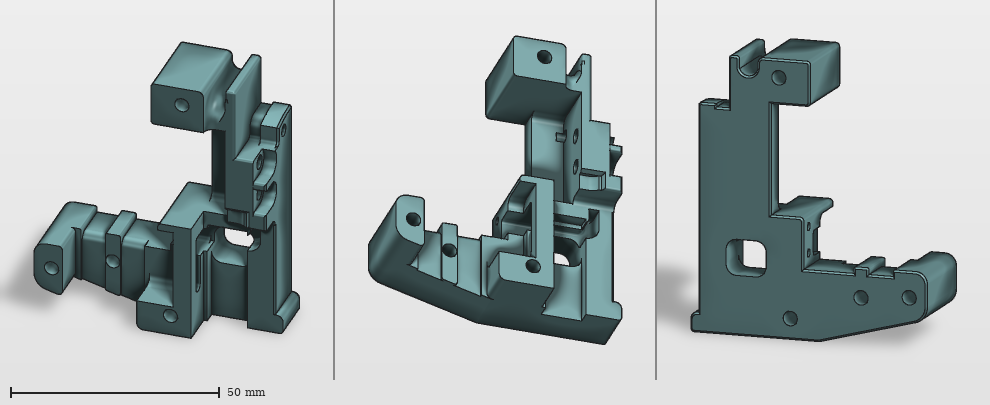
import cadquery as cq
import math

depth = 21.6
height = 68.75
screw_radius = 1.8
back_chamfer = 0.5

block_left = 31.35
block_right = 39.9
block_top = 30.25
block_edge_radius = 1.0
recess_depth = 9.5
foot_left = 26.05
foot_top = 7.8
recess_right = 35.35
recess_top = 28.4

arm_top = 17.45
rib_top = 19.1
arm_front = 10.2
arm_edge_radius = 2.2
arm_neck_left = 8.65
arm_neck_right = 24.75
slope_angle = 15.0
slope_end = 27.35
end_width = 7.2
rib_left = 14.8
rib_right = 18.6

wall_front = 9.15
wall_right = 58.0
toe_right = 60.0
toe_top = 4.95

channel_left = 40.8
channel_right = 50.95
channel_floor = 14.4
relief_floor = 12.4
relief_top = 26.7
cable_bottom = 19.25
cable_top = 25.5
cable_front = 3.6
cable_edge_radius = 0.9
window_bottom = 14.8
window_top = 23.65
window_radius = 2.7

column_left = 39.5
cavity_back = 16.3
cavity_radius = 2.05
plate_left = 47.65
plate_front = 2.35
plate_bottom = 31.6
plate_shoulder = 50.5
plate_edge_radius = 0.75
side_chamfer = 0.5
ear_right = 50.25
plate_screw_y = 6.95
plate_screw_heights = (39.4, 47.9)
seat_start = 54.8
seat_radius = 3.2

pivot_y = 15.3
pivot_z = 52.7
boss_left = 53.4

head_left = 29.6
head_right = 43.0
head_bottom = 57.6
head_left_radius = 1.0
head_right_radius = 1.4

groove_radius = 2.4
groove_x = head_right + groove_radius
groove_z = 66.4
groove_bend_y = 7.6
groove_bend_radius = groove_bend_y - plate_front + groove_radius

screw_positions = ((4.5, 12.65), (16.7, 11.7), (34.65, 5.2), (37.55, 64.2))


def box(x0, x1, y0, y1, z0, z1):
    """Axis-aligned box between the given limits."""
    return cq.Workplane("XY").box(x1 - x0, y1 - y0, z1 - z0, centered=False).translate((x0, y0, z0))


def plane_at_y(y):
    """Sketch plane with axes X and Z; a negative extrusion runs towards the back."""
    return cq.Workplane("XZ", origin=(0, y, 0))


def plane_at_x(x):
    """Sketch plane with axes Y and Z; an extrusion runs to the right."""
    return cq.Workplane("YZ", origin=(x, 0, 0))


def hole_along_y(x, z):
    return plane_at_y(0).center(x, z).circle(screw_radius).extrude(-depth)


def underside(x):
    """Height of the sloping underside of the arm."""
    return (slope_end - x) * math.tan(math.radians(slope_angle))


def arm_piece(x0, x1, front, top):
    """Length of the arm, cut off below by the sloping underside."""
    outline = [(x0, underside(x0)), (x1, underside(x1)), (x1, top), (x0, top)]
    return plane_at_y(front).polyline(outline).close().extrude(front - depth)


def make_arm():
    step_corner_radius = 0.55
    end_right_radius = 1.0
    end_top_radius = 3.0
    end_bottom_radius = 4.1
    end = arm_piece(0, end_width, 0, rib_top)
    end = end.edges("|Y and >X").fillet(end_right_radius)
    end = end.edges("|Y and <X and >Z").fillet(end_top_radius)
    end = end.faces("<X").edges("|Y and <Z").fillet(end_bottom_radius)
    end_step = arm_piece(end_width / 2, arm_neck_left, recess_depth, rib_top)
    end_step = end_step.edges("|Y and >X and >Z").fillet(step_corner_radius)

    rib = arm_piece(rib_left, rib_right, recess_depth, rib_top).edges("|Y").fillet(step_corner_radius)
    neck = arm_piece(arm_neck_left - 0.7, arm_neck_right, arm_front, arm_top)
    neck = neck.edges("|X and <Y and >Z").fillet(arm_edge_radius)

    root_outline = [
        (arm_neck_right, underside(arm_neck_right)),
        (slope_end, 0),
        (block_right, 0),
        (block_right, arm_top),
        (arm_neck_right, arm_top),
    ]
    root = plane_at_y(recess_depth).polyline(root_outline).close().extrude(recess_depth - depth)
    return end.union(end_step).union(neck).union(rib).union(root)


def make_block():
    foot_radius = 1.7
    step_radius = 2.4
    recess_radius = 2.2
    body = box(block_left, block_right, 0, depth, 0, block_top)
    body = body.edges("|Y and <X and >Z").fillet(block_edge_radius)
    foot = box(foot_left, block_right, 0, recess_depth, 0, foot_top + step_radius)
    foot = foot.edges("|Y and <X and <Z").fillet(foot_radius)
    recess = box(foot_left, recess_right, 0, recess_depth, foot_top, recess_top)
    recess = recess.edges("|X and >Y and <Z").fillet(step_radius)
    recess = recess.edges("|X and >Y and >Z").fillet(recess_radius)
    return body.union(foot).cut(recess)


def make_pin_holes():
    """Two blind holes in the left face of the block."""
    pin_radius = 0.95
    pin_depth = 4.1
    centres = [(17.6, 20.75), (17.6, 27.2)]
    return plane_at_x(block_left).pushPoints(centres).circle(pin_radius).extrude(pin_depth)


def make_lower_wall():
    under_plate_radius = 1.85
    toe_top_radius = 1.7
    toe_bottom_radius = 0.9
    wall = box(block_right - 0.7, wall_right, wall_front, depth, 0, block_top)
    wall = wall.edges("|Z and >X and <Y").chamfer(side_chamfer)
    toe = box(channel_right, toe_right, wall_front, depth, 0, toe_top)
    toe = toe.edges("|Y and >X and >Z").fillet(toe_top_radius)
    toe = toe.edges("|Y and >X and <Z").fillet(toe_bottom_radius)
    gusset = (
        plane_at_x(block_right)
        .moveTo(wall_front, plate_bottom - under_plate_radius)
        .radiusArc((wall_front - under_plate_radius, plate_bottom), -under_plate_radius)
        .lineTo(depth, plate_bottom)
        .lineTo(depth, plate_bottom - under_plate_radius)
        .close()
        .extrude(wall_right - block_right)
    )
    gusset = gusset.cut(box(block_right, plate_left, 0, cavity_back, block_top, plate_bottom))
    return wall.union(toe).union(gusset)


def make_cable_passage():
    """Channel through the block and along the wall that turns up towards the plate."""
    cable_floor_radius = 1.3
    slot_back = 6.7
    slot_bottom = 10.3
    slot_radius = 1.5
    relief_radius = 0.7
    branch_left = 51.7
    branch_right = 54.3
    branch_top = 29.6
    inner_bend_radius = 1.4
    outer_bend_radius = 3.45
    bend_z = 24.75
    through = box(block_left - 0.7, block_right, cable_front, channel_floor, cable_bottom, cable_top)
    through = through.edges("|X and >Z").fillet(cable_edge_radius)
    through = through.edges("|X and >Y and <Z").fillet(cable_floor_radius)
    slot = box(recess_right, block_right, cable_front, slot_back, slot_bottom, cable_bottom + slot_radius)
    slot = slot.edges("|X and <Z").fillet(slot_radius)
    relief = box(channel_left, channel_right, wall_front, relief_floor, 0, relief_top)
    relief = relief.edges("|Y and <X and >Z").fillet(relief_radius)
    bend = (
        plane_at_y(wall_front)
        .moveTo(block_right, cable_bottom)
        .lineTo(channel_right, cable_bottom)
        .lineTo(channel_right, bend_z - outer_bend_radius)
        .radiusArc((branch_right, bend_z), -outer_bend_radius)
        .lineTo(branch_right, branch_top)
        .lineTo(branch_left, branch_top)
        .lineTo(branch_left, cable_top + inner_bend_radius)
        .radiusArc((branch_left - inner_bend_radius, cable_top), inner_bend_radius)
        .lineTo(block_right, cable_top)
        .close()
        .extrude(wall_front - channel_floor)
    )
    bend = bend.faces(">Y").edges("not(<X or <Z)").fillet(cable_edge_radius)
    return through.union(slot).union(relief).union(bend)


def make_window():
    window = box(channel_left, channel_right, wall_front, depth, window_bottom, window_top)
    return window.edges("|Y").fillet(window_radius)


def make_column():
    column = box(column_left, plate_left, plate_front, depth, block_top, head_bottom)
    cavity = box(column_left, plate_left, 0, cavity_back, block_top, head_bottom)
    return column.cut(cavity.edges("|X and >Y").fillet(cavity_radius))


def make_seat(z):
    """Screw head seat: round inside and open to the front and right."""
    length = wall_right - seat_start
    round_end = plane_at_x(seat_start).center(plate_screw_y, z).circle(seat_radius).extrude(length)
    mouth = box(seat_start, wall_right, 0, plate_screw_y, z - seat_radius, z + seat_radius)
    return round_end.union(mouth)


def make_plate():
    ear_tip_radius = 0.8
    outline = [
        (plate_left, plate_bottom),
        (wall_right, plate_bottom),
        (wall_right, plate_shoulder),
        (ear_right, plate_shoulder),
        (ear_right, height),
        (plate_left, height),
    ]
    plate = plane_at_y(plate_front).polyline(outline).close().extrude(plate_front - depth)
    plate = plate.edges("|Z and <Y and >X").chamfer(side_chamfer)
    plate = plate.edges("|Y and >Z").fillet(ear_tip_radius)
    for z in plate_screw_heights:
        plate = plate.cut(make_seat(z))
    middle = (plate_left + ear_right) / 2
    right_half = cq.selectors.BoxSelector(
        (middle, plate_front - 0.1, plate_bottom - 0.7),
        (wall_right - side_chamfer - 0.1, plate_front + 0.1, height - ear_tip_radius),
    )
    seat_edges = cq.selectors.BoxSelector(
        (seat_start - 0.1, plate_front - 0.1, plate_bottom + 0.7),
        (seat_start + 0.1, plate_front + 0.1, plate_shoulder - 0.7),
    )
    plate = plate.faces("<Y").edges(right_half - seat_edges).fillet(plate_edge_radius)
    sharp_edge = box(plate_left, middle, plate_front, cavity_back, plate_bottom, groove_z - ear_tip_radius)
    return plate.union(sharp_edge)


def make_plate_screw_holes():
    centres = [(plate_screw_y, z) for z in plate_screw_heights]
    return plane_at_x(plate_left).pushPoints(centres).circle(screw_radius).extrude(wall_right - plate_left)


def make_cable_notch():
    """Shallow pocket in the lower front of the plate with bevelled edges."""
    right = 52.9
    top = 35.55
    floor = 4.05
    bevel = 0.8
    flat_right = 50.0
    notch_depth = floor - plate_front
    arc_width = right - flat_right
    arc_radius = (arc_width**2 + notch_depth**2) / (2 * notch_depth)
    notch = (
        cq.Workplane("XY", origin=(0, 0, plate_bottom))
        .moveTo(plate_left, plate_front)
        .lineTo(plate_left, floor)
        .lineTo(flat_right, floor)
        .radiusArc((right, plate_front), arc_radius)
        .close()
        .extrude(top - plate_bottom)
    )
    mouth = (
        plane_at_y(plate_front)
        .rect(2 * (right + bevel - plate_left), 2 * (top + bevel - plate_bottom))
        .workplane(offset=-bevel)
        .rect(2 * (right - plate_left), 2 * (top - plate_bottom))
        .loft()
        .translate((plate_left, 0, plate_bottom))
    )
    return notch.union(mouth.intersect(box(plate_left, wall_right, 0, depth, plate_bottom, height)))


def make_boss():
    """Rounded neck and raised pad standing on the shoulder of the plate."""
    neck_front = 12.9
    neck_foot_radius = 1.2
    neck_radius = 3.0
    pad_front = 11.6
    pad_foot_radius = 1.4
    pad_top = 56.6
    pad_front_top = 55.35
    pad_crown_y = 19.95
    pad_crown_middle = ((pad_front + pad_crown_y) / 2, pad_top - (pad_top - pad_front_top) / 4)

    def boss_foot(x, front, foot_radius):
        """Start of a profile: along the shoulder, then up the concave fillet."""
        return (
            plane_at_x(x)
            .moveTo(depth, plate_shoulder)
            .lineTo(front - foot_radius, plate_shoulder)
            .radiusArc((front, plate_shoulder + foot_radius), -foot_radius)
        )

    neck = (
        boss_foot(ear_right, neck_front, neck_foot_radius)
        .lineTo(neck_front, pivot_z)
        .radiusArc((neck_front + neck_radius, pivot_z + neck_radius), neck_radius)
        .lineTo(depth, pivot_z + neck_radius)
        .close()
        .extrude(boss_left - ear_right)
    )
    pad = (
        boss_foot(boss_left, pad_front, pad_foot_radius)
        .lineTo(pad_front, pad_front_top)
        .threePointArc(pad_crown_middle, (pad_crown_y, pad_top))
        .lineTo(depth, pad_top)
        .close()
        .extrude(wall_right - boss_left)
    )
    pad = pad.faces(">X").edges("not(<Z or >Y)").chamfer(side_chamfer)
    return neck.union(pad)


def make_pivot_hole():
    pivot_radius = 1.5
    hole_start = 45.85
    length = wall_right - hole_start
    return plane_at_x(hole_start).center(pivot_y, pivot_z).circle(pivot_radius).extrude(length)


def make_head():
    head = box(head_left, head_right, 0, depth, head_bottom, height)
    head = head.edges("|Y and <X").fillet(head_left_radius)
    head = head.edges("|Y and >X and >Z").fillet(head_right_radius)
    lower_right = box(column_left, head_right, 0, depth, head_bottom, groove_z)
    saddle = box(column_left, groove_x, 0, depth, head_bottom, groove_z)
    bridge = box(groove_x, plate_left + 0.7, plate_front, depth, head_bottom, groove_z)
    return head.union(lower_right).union(saddle).union(bridge)


def make_groove():
    """Round groove running forward, bending down over the front."""
    arc = math.sqrt(0.5) * groove_bend_radius
    centre_z = groove_z - groove_bend_radius
    bend_front = groove_bend_y - groove_bend_radius
    path = (
        plane_at_x(groove_x)
        .moveTo(depth, groove_z)
        .lineTo(groove_bend_y, groove_z)
        .threePointArc((groove_bend_y - arc, centre_z + arc), (bend_front, centre_z))
        .lineTo(bend_front, head_bottom)
    )
    tube = plane_at_y(depth).center(groove_x, groove_z).circle(groove_radius).sweep(path)
    right = groove_x + groove_radius
    outer_corner = box(head_right, right, -depth, groove_bend_y, head_bottom, height)
    keep = (
        plane_at_x(head_right)
        .center(groove_bend_y, centre_z)
        .circle(groove_bend_radius)
        .extrude(2 * groove_radius)
    )
    below = box(head_right, right, bend_front, depth, 0, centre_z)
    above = box(head_right, right, groove_bend_y, depth, groove_z, height)
    return tube.union(outer_corner.cut(keep).cut(below)).union(above)


result = make_block().union(make_arm()).union(make_lower_wall())
result = result.cut(make_cable_passage()).cut(make_window()).cut(make_pin_holes())

upright = make_column().union(make_plate()).union(make_boss())
upright = upright.cut(make_cable_notch()).cut(make_plate_screw_holes()).cut(make_pivot_hole())
result = result.union(upright).union(make_head().cut(make_groove()))

for x, z in screw_positions:
    result = result.cut(hole_along_y(x, z))

result = result.faces(">Y").wires(cq.selectors.LengthNthSelector(-1)).edges().chamfer(back_chamfer)